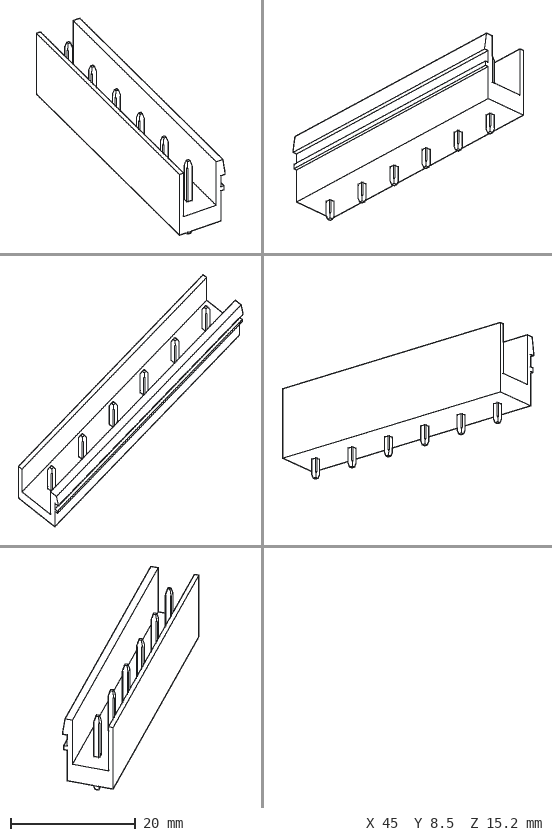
import cadquery as cq
length = 45.0
width = 7.75
height = 12.0
floor_thickness = 3.4
front_wall_thickness = 0.75
rear_wall_thickness = 0.9

total_depth = 8.5
latch_bottom_z = 8.9
latch_reach = total_depth - width
latch_top_reach = 0.35
latch_lip_height = 0.35

rib_bottom_z = 5.95
rib_height = 0.8
rib_reach = 0.6

pin_count = 6
pin_pitch = 7.5
pin_y = 3.82
pin_size = 1.1
pin_round_diameter = 1.3
top_tip_size = 0.45
bottom_tip_size = 0.6
pin_bottom_z = -3.2
pin_top_z = 11.05
bottom_taper_length = 0.95
top_taper_length = 1.2

pin_length = pin_top_z - pin_bottom_z
pin_points = [
    (length / 2 + (i - (pin_count - 1) / 2) * pin_pitch, pin_y) for i in range(pin_count)
]


def extrude_along_length(outline):
    """Extrude an outline of (Y, Z) points over the full length."""
    return cq.Workplane("YZ").polyline(outline).close().extrude(length)


def make_channel():
    """Floor with a front and a rear wall."""
    trough_depth = height - floor_thickness
    trough_width = width - front_wall_thickness - rear_wall_thickness
    channel = cq.Workplane("XY").box(length, width, height, centered=False)
    trough = (
        cq.Workplane("XY")
        .box(length, trough_width, trough_depth, centered=False)
        .translate((0, front_wall_thickness, floor_thickness))
    )
    return channel.cut(trough)


def make_latch():
    """Wedge on the rear wall, widest at its bottom."""
    return extrude_along_length([
        (width, latch_bottom_z),
        (width + latch_reach, latch_bottom_z),
        (width + latch_reach, latch_bottom_z + latch_lip_height),
        (width + latch_top_reach, height),
        (width, height),
    ])


def make_rib():
    """Rectangular rib on the rear wall."""
    return cq.Workplane("XY").box(length, rib_reach, rib_height, centered=False).translate(
        (0, width, rib_bottom_z)
    )


def make_taper(start_z, end_z, tip_size):
    """Square frustum from the full pin size to the given tip size."""
    return (
        cq.Workplane("XY", origin=(0, 0, start_z))
        .rect(pin_size, pin_size)
        .workplane(offset=end_z - start_z)
        .rect(tip_size, tip_size)
        .loft(ruled=True)
    )


def make_round_bar():
    """Cylinder over the full pin length, which rounds the corners of the square pin."""
    return (
        cq.Workplane("XY", origin=(0, 0, pin_bottom_z))
        .circle(pin_round_diameter / 2)
        .extrude(pin_length)
    )


def make_pin(x, y):
    """Square pin with flat tapers at both ends and its corners rounded."""
    shank_bottom_z = pin_bottom_z + bottom_taper_length
    shank_top_z = pin_top_z - top_taper_length
    envelope = (
        cq.Workplane("XY", origin=(0, 0, shank_bottom_z))
        .rect(pin_size, pin_size)
        .extrude(shank_top_z - shank_bottom_z)
        .union(make_taper(shank_bottom_z, pin_bottom_z, bottom_tip_size))
        .union(make_taper(shank_top_z, pin_top_z, top_tip_size))
    )
    return make_round_bar().intersect(envelope).translate((x, y, 0))


pins = [make_pin(x, y) for x, y in pin_points]

housing = make_channel().union(make_latch()).union(make_rib())
for pin in pins:
    housing = housing.cut(pin)

result = cq.Compound.makeCompound([housing.val(), *[pin.val() for pin in pins]])